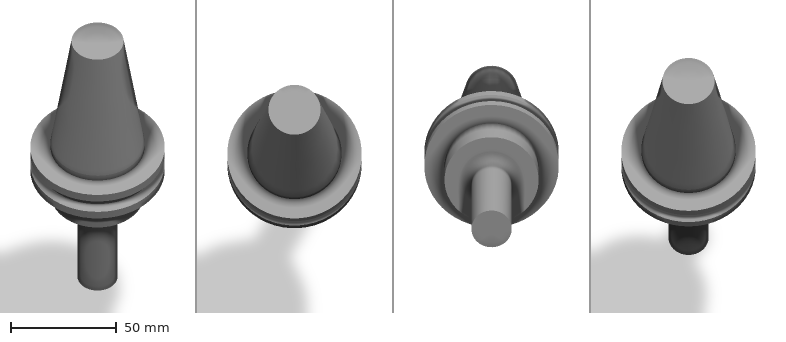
import cadquery as cq

total_length = 158.8
shank_length = 55.5
body_length = 15.9
flange_thickness = 15.9
collar_length = 3.2

shank_diameter = 19.0
gauge_diameter = 44.5
flange_diameter = 63.5
taper_top_diameter = 24.6

groove_diameter = 56.2
groove_mouth_width = 7.0
groove_floor_width = 4.0
groove_middle_height = 8.0

root_fillet_radius = 4.8

body_base = shank_length
flange_base = body_base + body_length
flange_top = flange_base + flange_thickness
taper_base = flange_top + collar_length


def cylinder(diameter, base, top):
    """Vertical cylinder on the Z axis between two heights."""
    return cq.Workplane("XY").workplane(offset=base).circle(diameter / 2).extrude(top - base)


def shank_with_root_fillet():
    """Shank that flares through a concave fillet into the body above it."""
    radius = shank_diameter / 2
    fillet_base = body_base - root_fillet_radius
    arc_offset = root_fillet_radius * (1 - 0.5 ** 0.5)
    return (
        cq.Workplane("XZ")
        .lineTo(radius, 0)
        .lineTo(radius, fillet_base)
        .threePointArc(
            (radius + arc_offset, body_base - arc_offset),
            (radius + root_fillet_radius, body_base),
        )
        .lineTo(0, body_base)
        .close()
        .revolve(360, (0, 0, 0), (0, 1, 0))
    )


def grooved_flange():
    """Flange with a flat-bottomed V-groove around its rim."""
    rim = flange_diameter / 2
    floor = groove_diameter / 2
    middle = flange_base + groove_middle_height
    half_mouth = groove_mouth_width / 2
    half_floor = groove_floor_width / 2
    return (
        cq.Workplane("XZ")
        .moveTo(0, flange_base)
        .lineTo(rim, flange_base)
        .lineTo(rim, middle - half_mouth)
        .lineTo(floor, middle - half_floor)
        .lineTo(floor, middle + half_floor)
        .lineTo(rim, middle + half_mouth)
        .lineTo(rim, flange_top)
        .lineTo(0, flange_top)
        .close()
        .revolve(360, (0, 0, 0), (0, 1, 0))
    )


def taper():
    """Cone that narrows from the gauge diameter to the top end."""
    return (
        cq.Workplane("XY")
        .workplane(offset=taper_base)
        .circle(gauge_diameter / 2)
        .workplane(offset=total_length - taper_base)
        .circle(taper_top_diameter / 2)
        .loft(ruled=True)
    )


body = cylinder(gauge_diameter, body_base, flange_base)
collar = cylinder(gauge_diameter, flange_top, taper_base)

result = shank_with_root_fillet().union(body).union(grooved_flange()).union(collar).union(taper())